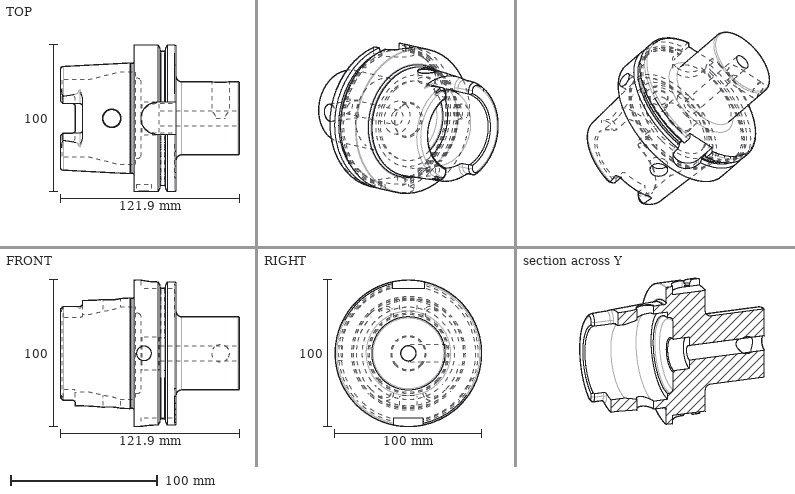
import cadquery as cq
import math


total_length = 121.9
flange_front = 50.0
flange_width = 28.9
flange_back = flange_front + flange_width

taper_nose_radius = 35.41
taper_base_radius = 37.8
taper_end = 47.4
relief_radius = 37.5
relief_start = 48.0
relief_fillet = 1.2
face_recess_radius = 39.4
face_recess_depth = 0.18
nose_fillet = 2.0
slot_edge_chamfer = 1.8

flange_radius = 100.0 / 2
flange_front_fillet = 0.4
flange_back_fillet = 1.2
groove_front = 66.5
groove_back = 72.9
groove_floor_radius = 45.8
groove_cone_depth = 2.4
groove_cone_length = groove_cone_depth * math.tan(math.radians(30))
groove_fillet = 0.6

shank_radius = 50.0 / 2
shank_root_fillet = 3.8
shank_end_fillet = 0.9

mouth_radius = 53.0 / 2
mouth_chamfer = 1.1
lip_end = 20.0
chamber_radius = 63.0 / 2
chamber_start = 40.2
chamber_end = 51.2
bore_floor = 54.9
floor_radius = 50.0 / 2
floor_fillet = 2.4

coolant_radius = 22.5 / 2
coolant_depth = 12.2
coolant_chamfer = 0.7
through_radius = 10.2 / 2

slot_width = 20.0
slot_lug_height = 32.0
slot_corner_radius = 5.0
slot_floor_fillet = 1.7
slot_inner_height = 12.2
slot_top_depth = 15.0
slot_bottom_depth = 10.0

cross_hole_radius = 12.0 / 2
cross_hole_x = 35.0
cross_hole_chamfer = 0.4

keyway_top_width = 22.0
keyway_bottom_width = 20.0
keyway_start = 54.9
keyway_floor = 44.0

rim_hole_radius = 10.0 / 2
rim_hole_x = 56.9
rim_hole_depth = 5.0

screw_radius = 12.0 / 2
screw_x = 109.1
screw_sink = 0.1

clearance = 12.2
tail_length = 48.8


def revolve_about_x(profile):
    """Turn a closed XY half-profile about the X axis."""
    return profile.close().revolve(360, (0, 0, 0), (1, 0, 0))


def turned_blank():
    """Outside shape of the holder before any milling."""
    inner = groove_floor_radius
    wall_front = groove_front + groove_cone_length
    wall_back = groove_back - groove_cone_length
    cone_bottom = flange_radius - groove_cone_depth
    recess_x = flange_front + face_recess_depth
    profile = (
        cq.Workplane("XY")
        .moveTo(0, 0)
        .lineTo(0, taper_nose_radius - nose_fillet)
        .radiusArc((nose_fillet, taper_nose_radius), nose_fillet)
        .lineTo(taper_end, taper_base_radius)
        .lineTo(relief_start, relief_radius)
        .lineTo(recess_x - relief_fillet, relief_radius)
        .radiusArc((recess_x, relief_radius + relief_fillet), -relief_fillet)
        .lineTo(flange_front, face_recess_radius)
        .lineTo(flange_front, flange_radius - flange_front_fillet)
        .radiusArc((flange_front + flange_front_fillet, flange_radius), flange_front_fillet)
        .lineTo(groove_front, flange_radius)
        .lineTo(wall_front, cone_bottom)
        .lineTo(wall_front, inner + groove_fillet)
        .radiusArc((wall_front + groove_fillet, inner), -groove_fillet)
        .lineTo(wall_back - groove_fillet, inner)
        .radiusArc((wall_back, inner + groove_fillet), -groove_fillet)
        .lineTo(wall_back, cone_bottom)
        .lineTo(groove_back, flange_radius)
        .lineTo(flange_back - flange_back_fillet, flange_radius)
        .radiusArc((flange_back, flange_radius - flange_back_fillet), flange_back_fillet)
        .lineTo(flange_back, shank_radius + shank_root_fillet)
        .radiusArc((flange_back + shank_root_fillet, shank_radius), -shank_root_fillet)
        .lineTo(total_length - shank_end_fillet, shank_radius)
        .radiusArc((total_length, shank_radius - shank_end_fillet), shank_end_fillet)
        .lineTo(total_length, 0)
    )
    return revolve_about_x(profile)


def bore():
    """Lip, chamber, coolant connection and through hole, as one cutter."""
    profile = (
        cq.Workplane("XY")
        .moveTo(0, 0)
        .lineTo(0, mouth_radius)
        .lineTo(lip_end, mouth_radius)
        .lineTo(chamber_start, chamber_radius)
        .lineTo(chamber_end, chamber_radius)
        .lineTo(chamber_end, floor_radius + floor_fillet)
        .lineTo(bore_floor - floor_fillet, floor_radius + floor_fillet)
        .radiusArc((bore_floor, floor_radius), floor_fillet)
        .lineTo(bore_floor, coolant_radius + coolant_chamfer)
        .lineTo(bore_floor + coolant_chamfer, coolant_radius)
        .lineTo(bore_floor + coolant_depth, coolant_radius)
        .lineTo(bore_floor + coolant_depth, through_radius)
        .lineTo(total_length, through_radius)
        .lineTo(total_length, 0)
    )
    return revolve_about_x(profile)


def mouth_chamfer_cone():
    """Cutter that breaks the edge of the bore at the nose."""
    profile = (
        cq.Workplane("XY")
        .moveTo(0, 0)
        .lineTo(0, mouth_radius + mouth_chamfer)
        .lineTo(mouth_chamfer, mouth_radius)
        .lineTo(mouth_chamfer, 0)
    )
    return revolve_about_x(profile)


def drive_slot(depth, side):
    """Cutter for a slot in the nose, flared over the rounded lug corners; side is +1 top, -1 bottom."""
    half = slot_width / 2
    centre_y = half + slot_corner_radius
    centre_z = slot_lug_height - slot_corner_radius
    centre_distance = math.hypot(centre_y, centre_z)
    axial_y = centre_y / centre_distance
    axial_z = centre_z / centre_distance
    reach = centre_distance + slot_corner_radius
    crest_y = reach * axial_y
    crest_z = reach * axial_z
    far_y = crest_y + tail_length * axial_z
    far_z = crest_z - tail_length * axial_y
    top = taper_base_radius + clearance
    cutter = (
        cq.Workplane("YZ", origin=(-clearance, 0, 0))
        .moveTo(-half, slot_inner_height)
        .lineTo(-half, centre_z)
        .radiusArc((-crest_y, crest_z), -slot_corner_radius)
        .lineTo(-far_y, far_z)
        .lineTo(-far_y, top)
        .lineTo(far_y, top)
        .lineTo(far_y, far_z)
        .lineTo(crest_y, crest_z)
        .radiusArc((half, centre_z), -slot_corner_radius)
        .lineTo(half, slot_inner_height)
        .close()
        .extrude(clearance + depth)
        .faces(">X")
        .edges("not(<Z or >Z or <Y or >Y)")
        .fillet(slot_floor_fillet)
    )
    return cutter if side > 0 else cutter.mirror("XY")


def slotted_envelope():
    """Oversized block around the holder with both drive slots in it, their front edges bevelled."""
    size = 2 * (flange_radius + 1.2)
    block = cq.Workplane("YZ").rect(size, size).extrude(total_length)
    block = block.cut(drive_slot(slot_top_depth, 1)).cut(drive_slot(slot_bottom_depth, -1))
    return block.faces("<X").edges("not(<Y or >Y or |Y)").chamfer(slot_edge_chamfer)


def cross_hole():
    """Radial hole through both walls of the taper."""
    hole = cq.Workplane("XY", origin=(cross_hole_x, 0, -flange_radius)).circle(cross_hole_radius)
    return hole.extrude(2 * flange_radius)


def chamfer_cross_hole(body):
    """Break the outer edge of the cross hole on the top side."""
    rim = taper_base_radius + 1.2
    box = cq.selectors.BoxSelector(
        (cross_hole_x - rim / 4, -rim / 4, mouth_radius + 5.5), (cross_hole_x + rim / 4, rim / 4, rim), True
    )
    return body.edges(box).chamfer(cross_hole_chamfer)


def keyway(width, side):
    """Round-ended keyway open to the back of the flange; side is +1 top, -1 bottom."""
    half = width / 2
    cutter = (
        cq.Workplane("XY", origin=(0, 0, keyway_floor))
        .moveTo(flange_back, -half)
        .lineTo(keyway_start + half, -half)
        .radiusArc((keyway_start + half, half), half)
        .lineTo(flange_back, half)
        .close()
        .extrude(clearance)
    )
    return cutter if side > 0 else cutter.mirror("XY")


def rim_hole():
    """Blind hole in the front side of the flange rim."""
    return (
        cq.Workplane("XZ", origin=(rim_hole_x, -flange_radius + rim_hole_depth, 0))
        .circle(rim_hole_radius)
        .extrude(clearance)
    )


def screw_bar(end_y):
    """Round bar across the shank from the through hole out to end_y; cut to fit the through hole."""
    bar = cq.Workplane("XZ", origin=(screw_x, 0, 0)).circle(screw_radius).extrude(-end_y)
    through = cq.Workplane("YZ").circle(through_radius).extrude(total_length)
    return bar.cut(through)


def make_holder():
    holder = turned_blank().cut(bore())
    holder = holder.intersect(slotted_envelope())
    holder = holder.cut(mouth_chamfer_cone())
    holder = chamfer_cross_hole(holder.cut(cross_hole()))
    holder = holder.cut(keyway(keyway_top_width, 1)).cut(keyway(keyway_bottom_width, -1))
    holder = holder.cut(rim_hole())
    holder = holder.cut(screw_bar(shank_radius + clearance))
    return holder


def make_clamping_screw():
    return screw_bar(shank_radius - screw_sink)


holder = make_holder()
clamping_screw = make_clamping_screw()
result = cq.Compound.makeCompound([holder.val(), clamping_screw.val()])